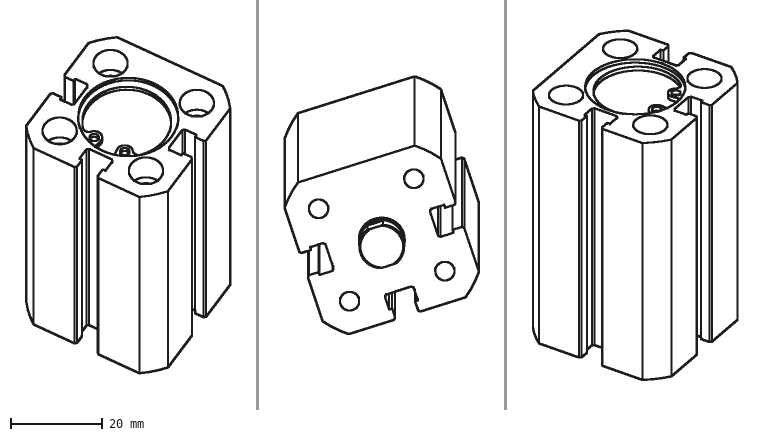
import cadquery as cq

total_length = 68.0
rod_reach = 6.0
housing_length = total_length - rod_reach
housing_width = 36.0
half_width = housing_width / 2
corner_radius = 22.45

slot_mouth_width = 5.25
slot_inner_width = 6.6
slot_lip = 2.6
slot_depth = 6.0
slot_mouth_chamfer = 0.4
slot_floor_chamfer = 0.4
slot_turns = (0, 90, -90)

hole_pitch = 21.9
hole_diameter = 4.2
counterbore_diameter = 7.5
counterbore_depth = 7.0

bore_radius = 10.95
ring_recess = 0.9
ring_thickness = 1.0
cover_thickness = 5.45
ring_top = housing_length - ring_recess
cover_top = ring_top - ring_thickness
cover_bottom = cover_top - cover_thickness

ring_opening_radius = 9.7
ring_opening_offset = 0.7
ear_x = 3.9
ear_y = -8.1
ear_radius = 1.8
ear_hole_diameter = 2.05
ear_blend_radius = 1.3
gap_half_width_inner = ear_x - ear_radius
gap_half_width_outer = 2.5

rod_radius = 5.0
tip_radius = 4.9
collar_reach = 1.35
shoulder_height = 0.3
flat_distance = 4.55
flat_top = -2.05
tip_chamfer = 0.2


def make_slot():
    """Cutter for one T-slot, open towards -Y and running the full housing length."""
    mouth = slot_mouth_width / 2
    inner = slot_inner_width / 2
    flare = mouth + slot_mouth_chamfer
    floor = inner - slot_floor_chamfer
    outer_y = -half_width
    floor_y = outer_y + slot_depth
    right_side = [
        (flare, outer_y),
        (mouth, outer_y + slot_mouth_chamfer),
        (mouth, outer_y + slot_lip),
        (inner, outer_y + slot_lip),
        (inner, floor_y - slot_floor_chamfer),
        (floor, floor_y),
    ]
    left_side = [(-x, y) for x, y in reversed(right_side)]
    return cq.Workplane("XY").polyline(right_side + left_side).close().extrude(housing_length)


def make_housing():
    """Extruded body with slots, mounting holes, the cover bore and the rod bore."""
    body = cq.Workplane("XY").rect(housing_width, housing_width).extrude(housing_length)
    body = body.intersect(cq.Workplane("XY").circle(corner_radius).extrude(housing_length))

    slot = make_slot()
    for turn in slot_turns:
        body = body.cut(slot.rotate((0, 0, 0), (0, 0, 1), turn))

    body = (
        body.faces(">Z").workplane(origin=(0, 0, housing_length))
        .rect(hole_pitch, hole_pitch, forConstruction=True).vertices()
        .cboreHole(hole_diameter, counterbore_diameter, counterbore_depth)
    )

    cover_bore = (
        cq.Workplane("XY").workplane(offset=cover_bottom)
        .circle(bore_radius).extrude(housing_length - cover_bottom)
    )
    rod_bore = cq.Workplane("XY").circle(rod_radius).extrude(cover_bottom)
    return body.cut(cover_bore).cut(rod_bore)


def make_cover():
    """Plain disc that closes the bore below the retaining ring."""
    return cq.Workplane("XY").workplane(offset=cover_bottom).circle(bore_radius).extrude(cover_thickness)


def make_ear(side):
    """Ear of the ring: a round lug whose straight end runs out to the bore wall."""
    plane = cq.Workplane("XY").workplane(offset=cover_top)
    lug = plane.center(side * ear_x, ear_y).circle(ear_radius).extrude(ring_thickness)
    root = plane.polyline([
        (side * ear_x, ear_y),
        (side * gap_half_width_inner, ear_y),
        (side * gap_half_width_outer, -bore_radius),
        (side * ear_x, -bore_radius),
    ]).close().extrude(ring_thickness)
    return lug.union(root)


def make_ring():
    """Internal retaining ring, with two plier-hole ears beside its gap on the -Y side."""
    plane = cq.Workplane("XY").workplane(offset=cover_top)
    disc = plane.circle(bore_radius).extrude(ring_thickness)
    opening = plane.center(0, -ring_opening_offset).circle(ring_opening_radius).extrude(ring_thickness)
    gap = plane.polyline([
        (-gap_half_width_inner, ear_y),
        (gap_half_width_inner, ear_y),
        (gap_half_width_outer, -bore_radius),
        (-gap_half_width_outer, -bore_radius),
    ]).close().extrude(ring_thickness)

    for side in (-1, 1):
        opening = opening.cut(make_ear(side))

    opening = opening.edges("|Z").edges("<X or >X").fillet(ear_blend_radius)

    holes = plane.pushPoints([(-ear_x, ear_y), (ear_x, ear_y)]).circle(ear_hole_diameter / 2)
    return disc.cut(opening).cut(gap).cut(holes.extrude(ring_thickness))


def make_rod():
    """Piston rod with a stepped tip and two wrench flats facing -Y and +Y."""
    shoulder_bottom = -collar_reach - shoulder_height
    rod = cq.Workplane("XZ").polyline([
        (0, cover_bottom),
        (rod_radius, cover_bottom),
        (rod_radius, -collar_reach),
        (tip_radius, shoulder_bottom),
        (tip_radius, -rod_reach + tip_chamfer),
        (tip_radius - tip_chamfer, -rod_reach),
        (0, -rod_reach),
    ]).close().revolve(360, (0, 0, 0), (0, 1, 0))

    slope = rod_radius - flat_distance
    flat_cut = cq.Workplane("YZ").polyline([
        (flat_distance, -rod_reach),
        (flat_distance, flat_top),
        (flat_distance + slope, flat_top + slope),
        (flat_distance + slope, -rod_reach),
    ]).close().extrude(rod_radius, both=True)
    return rod.cut(flat_cut).cut(flat_cut.mirror("XZ"))


housing = make_housing()
cover = make_cover()
ring = make_ring()
rod = make_rod()

result = cq.Compound.makeCompound([housing.val(), cover.val(), ring.val(), rod.val()])